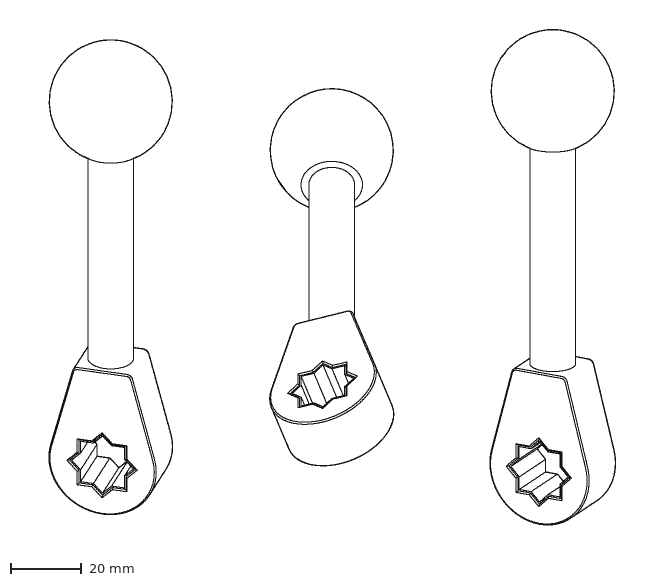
import cadquery as cq
import math

total_height = 145.8

eye_radius = 15.9
head_thickness = 17.0
head_height = 46.0
half_thickness = head_thickness / 2
shoulder_half_width = half_thickness
shoulder_corner_radius = 1.8
edge_chamfer = 0.5

bore_square = 13.0
bore_ledge_width = 0.5
star_turn = 45

rod_diameter = 13.0
ball_radius = 17.5
ball_flat_drop = 15.2

shoulder_z = head_height - eye_radius
ball_center_z = total_height - eye_radius - ball_radius


def tangent_point():
    """Point where the right flank, starting at the shoulder corner, touches the eye."""
    corner_distance = math.hypot(shoulder_half_width, shoulder_z)
    corner_angle = math.atan2(shoulder_z, shoulder_half_width)
    angle = corner_angle - math.acos(eye_radius / corner_distance)
    return eye_radius * math.cos(angle), eye_radius * math.sin(angle)


def make_head():
    """Tapered eye with rounded shoulder corners and chamfered front and back edges."""
    tangent_x, tangent_z = tangent_point()
    blank = (
        cq.Workplane("XZ")
        .moveTo(-shoulder_half_width, shoulder_z)
        .lineTo(shoulder_half_width, shoulder_z)
        .lineTo(tangent_x, tangent_z)
        .threePointArc((0, -eye_radius), (-tangent_x, tangent_z))
        .close()
        .extrude(half_thickness, both=True)
    )
    rounded = blank.faces(">Z").edges("|Y").fillet(shoulder_corner_radius)
    return rounded.faces("<Y or >Y").edges().chamfer(edge_chamfer)


def make_star_bore():
    """Through cutter for the eight-pointed bore, with a flared ledge recess at both mouths."""
    ledge_square = bore_square + 2 * bore_ledge_width
    mouth_square = ledge_square + 2 * edge_chamfer
    one_square = cq.Workplane("XZ").rect(bore_square, bore_square).extrude(half_thickness, both=True)
    for side in (1, -1):
        mouth = (
            cq.Workplane("XZ", origin=(0, side * half_thickness, 0))
            .rect(mouth_square, mouth_square)
            .workplane(offset=side * edge_chamfer)
            .rect(ledge_square, ledge_square)
            .loft(ruled=True)
        )
        one_square = one_square.union(mouth)
    return one_square.union(one_square.rotate((0, 0, 0), (0, 1, 0), star_turn))


def make_rod():
    """Round rod from the shoulder to the ball center."""
    return (
        cq.Workplane("XY", origin=(0, 0, shoulder_z))
        .circle(rod_diameter / 2)
        .extrude(ball_center_z - shoulder_z)
    )


def make_ball():
    """Ball knob with a flat underside where the rod enters."""
    flat_radius = math.sqrt(ball_radius**2 - ball_flat_drop**2)
    return (
        cq.Workplane("XZ", origin=(0, 0, ball_center_z))
        .moveTo(0, -ball_flat_drop)
        .lineTo(flat_radius, -ball_flat_drop)
        .threePointArc((ball_radius, 0), (0, ball_radius))
        .close()
        .revolve(360, (0, 0), (0, 1))
    )


result = make_head().cut(make_star_bore()).union(make_rod()).union(make_ball())